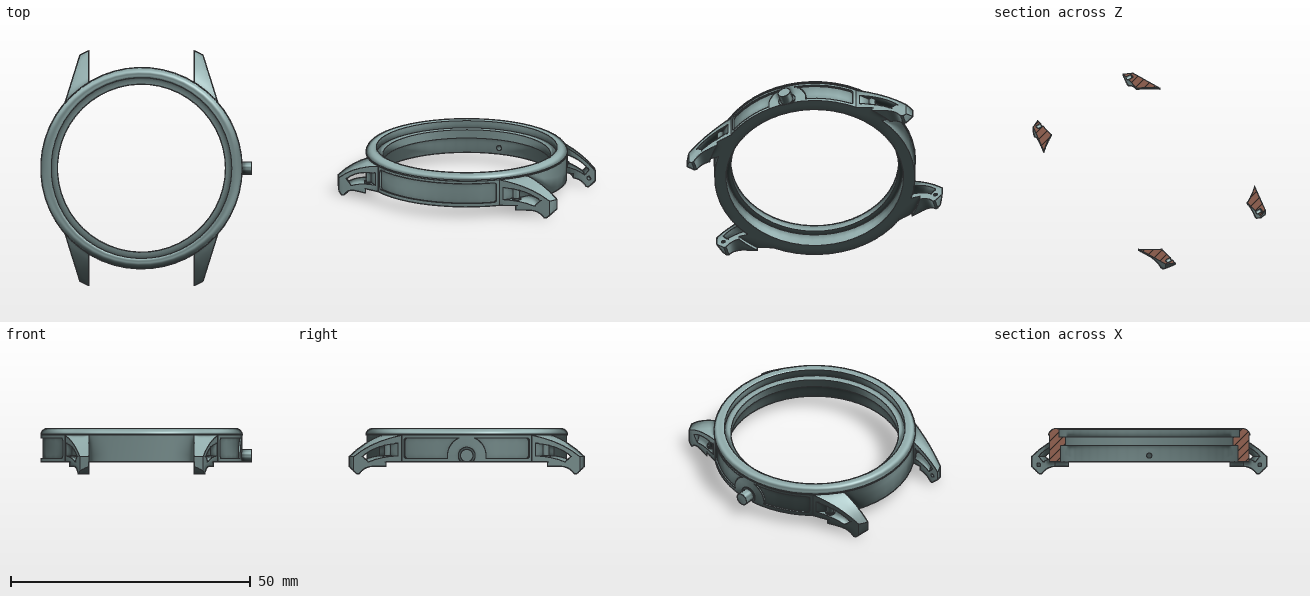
import cadquery as cq
import math

case_bottom_z = 2.5
case_top_z = 8.1
ledge_bottom_z = 5.95
ledge_z = 7.75
lip_top_z = 8.4
rim_inner_z = 9.3
rim_edge_z = 9.4
overall_height = 9.5

bore_radius = 35.0 / 2
movement_radius = 37.0 / 2
crystal_radius = 37.7 / 2
rim_edge_radius = 19.0
bezel_crest_radius = 19.5
case_radius = 20.85
flank_radius = 20.95
lip_radius = 21.0

flank_half_angle = 40.4
panel_radius = 20.6
panel_half_angle = 38.6
panel_bottom_z = 3.25
panel_top_z = 7.5
panel_corner_radius = 0.65

crown_diameter = 2.6
crown_z = 3.8
crown_end_x = 23.0
crown_seat_x = 20.8
crown_seat_diameter = 3.55
crown_guard_radius = 4.0
stem_hole_diameter = 1.1

overall_length = 49
lug_inner_x = 11.0
lug_root_x = 15.95
lug_root_y = 13.55
lug_tip_x = 12.8
lug_tip_y = 23.75
lug_tip_radius = math.hypot(lug_inner_x, overall_length / 2)

lug_shoulder_z = 3.65
lug_pad_z = 1.55
lug_pad_radius = 22.5
lug_arch_y = 19.7
lug_foot_inner_y = 22.45
lug_foot_outer_y = 22.95

window_wall_radius = 21.25
pillar_diameter = 1.4
pillar_x = 13.7
pillar_y = 16.4
collar_diameter = 2.05
collar_top_z = 3.85

bar_hole_diameter = 0.8
bar_hole_depth = 1.22
bar_hole_y = 23.05
bar_hole_z = 1.9


def ring_sector(inner_radius, outer_radius, bottom_z, top_z, half_angle):
    """Sector of a ring, centred on the +X axis."""
    return (
        cq.Workplane("XZ")
        .moveTo(inner_radius, bottom_z)
        .lineTo(outer_radius, bottom_z)
        .lineTo(outer_radius, top_z)
        .lineTo(inner_radius, top_z)
        .close()
        .revolve(2 * half_angle, (0, 0, 0), (0, 1, 0))
        .rotate((0, 0, 0), (0, 0, 1), -half_angle)
    )


def x_cylinder(diameter, start_x, end_x, y, z):
    """Cylinder along the X axis."""
    return cq.Workplane("YZ", origin=(start_x, y, z)).circle(diameter / 2).extrude(end_x - start_x)


def make_case():
    """Ring with a rounded bezel, a ledge for the crystal and a wider bore below the ledge."""
    return (
        cq.Workplane("XZ")
        .moveTo(movement_radius, case_bottom_z)
        .lineTo(case_radius, case_bottom_z)
        .lineTo(case_radius, case_top_z)
        .lineTo(lip_radius, case_top_z)
        .lineTo(lip_radius, lip_top_z)
        .threePointArc((bezel_crest_radius, overall_height), (rim_edge_radius, rim_edge_z))
        .lineTo(crystal_radius, rim_inner_z)
        .lineTo(crystal_radius, ledge_z)
        .lineTo(bore_radius, ledge_z)
        .lineTo(bore_radius, ledge_bottom_z)
        .lineTo(movement_radius, ledge_bottom_z)
        .close()
        .revolve(360, (0, 0, 0), (0, 1, 0))
    )


def make_flank():
    """Raised band on the +X side."""
    return ring_sector(panel_radius, flank_radius, case_bottom_z, case_top_z, flank_half_angle)


def make_panel():
    """Cutter for the sunken panel of the +X flank, with rounded corners."""
    panel = ring_sector(panel_radius, lip_radius, panel_bottom_z, panel_top_z, panel_half_angle)
    return panel.edges("%LINE and (not |Z)").fillet(panel_corner_radius)


def make_window():
    """Cutter for the lug window: a curved slot swept about the Z axis."""
    return (
        cq.Workplane("XZ")
        .moveTo(window_wall_radius, 3.75)
        .lineTo(window_wall_radius, 6.4)
        .threePointArc((23.5, 5.55), (25.55, 3.68))
        .lineTo(24.7, 2.5)
        .threePointArc((23.0, 3.4), (window_wall_radius, 3.75))
        .close()
        .revolve(360, (0, 0, 0), (0, 1, 0))
    )


def make_lug():
    """Lug in the +X, +Y corner."""
    plan = (
        cq.Workplane("XY")
        .polyline([
            (lug_inner_x, lug_root_y),
            (lug_root_x, lug_root_y),
            (lug_tip_x, lug_tip_y),
            (lug_tip_x, lug_tip_radius),
            (lug_inner_x, lug_tip_radius),
        ])
        .close()
        .extrude(overall_height)
    )
    top_sweep = (
        cq.Workplane("XZ")
        .moveTo(panel_radius, case_bottom_z)
        .lineTo(lug_pad_radius, case_bottom_z)
        .lineTo(lug_pad_radius, 0)
        .lineTo(lug_tip_radius, 0)
        .lineTo(lug_tip_radius, lug_shoulder_z)
        .threePointArc((24.0, 6.2), (case_radius, case_top_z))
        .lineTo(panel_radius, case_top_z)
        .close()
        .revolve(360, (0, 0, 0), (0, 1, 0))
    )
    side = (
        cq.Workplane("YZ")
        .moveTo(lug_root_y, lug_pad_z)
        .lineTo(lug_arch_y, lug_pad_z)
        .threePointArc((21.25, 1.15), (lug_foot_inner_y, 0))
        .lineTo(lug_foot_outer_y, 0)
        .lineTo(overall_length / 2, lug_pad_z)
        .lineTo(overall_length / 2, overall_height)
        .lineTo(lug_root_y, overall_height)
        .close()
        .extrude(lug_tip_radius)
    )
    solid_lug = plan.intersect(top_sweep).intersect(side)

    pillar_base = cq.Workplane("XY", origin=(pillar_x, pillar_y, case_bottom_z))
    pillar = pillar_base.circle(pillar_diameter / 2).extrude(overall_height)
    collar = pillar_base.circle(collar_diameter / 2).extrude(collar_top_z - case_bottom_z)
    bar_hole = x_cylinder(
        bar_hole_diameter, lug_inner_x, lug_inner_x + bar_hole_depth, bar_hole_y, bar_hole_z
    )
    fittings = pillar.union(collar).intersect(solid_lug)
    return solid_lug.cut(make_window()).union(fittings).cut(bar_hole)


def add_crown(case):
    """Fit the crown on its flat seat and open the stem hole behind it."""
    seat = x_cylinder(crown_seat_diameter, crown_seat_x, crown_end_x, 0, crown_z)
    crown = x_cylinder(crown_diameter, panel_radius, crown_end_x, 0, crown_z)
    stem_hole = x_cylinder(stem_hole_diameter, 0, panel_radius, 0, crown_z)
    return case.cut(seat).union(crown).cut(stem_hole)


case = make_case()
flank = make_flank()
panel = make_panel()
crown_guard = x_cylinder(2 * crown_guard_radius, bore_radius, crown_end_x, 0, crown_z)

case = case.union(flank).union(flank.mirror("YZ"))
case = case.cut(panel.cut(crown_guard)).cut(panel.mirror("YZ"))
lug = make_lug()
for side_lug in (lug, lug.mirror("YZ")):
    case = case.union(side_lug).union(side_lug.mirror("XZ"))

result = add_crown(case)